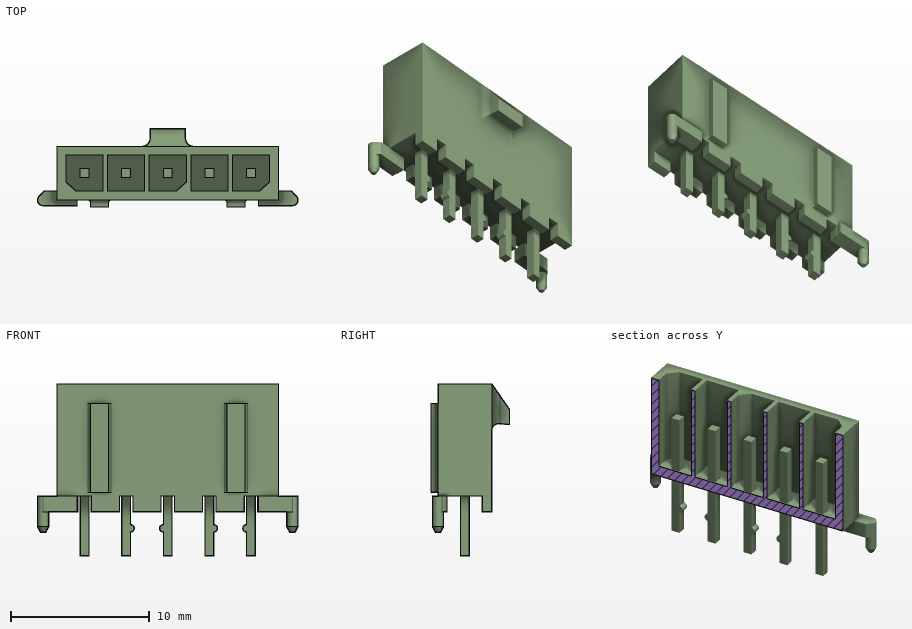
import cadquery as cq
import math


pin_count = 5
pitch = 3.0
housing_length = 16.0
housing_depth = 3.88
housing_top = 9.24
housing_underside = 1.14
housing_front = -housing_depth / 2
housing_rear = housing_depth / 2

cavity_length = 2.68
cavity_depth = 2.6
cavity_floor = 2.0
key_chamfer_x = 0.73
key_chamfer_y = 0.67
RIGHT = 1
LEFT = -1
cavity_keys = {0: LEFT, 2: RIGHT, 4: RIGHT}

rear_skirt_thickness = 0.7
front_skirt_thickness = 0.66
skirt_gap = 0.96

pin_width = 0.64
pin_bottom = -3.18
pin_top = 6.3
bump_radius = 0.27
bump_z = -1.19
pin_bumps = {1: RIGHT, 2: LEFT, 3: RIGHT, 4: LEFT}

overall_length = 18.8
peg_radius = 0.41
peg_tip_radius = 0.19
peg_cone_z = -1.07
peg_bottom = -1.48
ear_inner_x = 6.53
peg_x = overall_length / 2 - peg_radius

rib_x = 4.925
rib_width = 1.31
rib_projection = 0.51
rib_fillet = 0.17
rib_top = 7.82
rib_bottom = 1.41

latch_width = 2.56
latch_projection = 1.28
latch_fillet = 0.58
latch_tip_top = 7.39
latch_tip_bottom = 6.29
latch_underside_z = 6.36
latch_underside_fillet = 0.5

arc_middle = 1 - math.sqrt(0.5)

pin_positions = [(index - (pin_count - 1) / 2) * pitch for index in range(pin_count)]


def block(x_range, y_range, z_range):
    """Box spanning the given (low, high) ranges."""
    lows, highs = zip(x_range, y_range, z_range)
    sizes = [high - low for low, high in zip(lows, highs)]
    return cq.Workplane("XY").box(*sizes, centered=False).translate(lows)


def make_housing():
    half_length = housing_length / 2
    return block(
        (-half_length, half_length),
        (housing_front, housing_rear),
        (housing_underside, housing_top),
    )


def make_cavity(x, key_side):
    """Rectangular pocket; key_side picks the chamfered front corner, None for no chamfer."""
    half_length = cavity_length / 2
    half_depth = cavity_depth / 2
    height = housing_top - cavity_floor
    cavity = cq.Workplane("XY").box(cavity_length, cavity_depth, height, centered=(True, True, False))
    if key_side is not None:
        corner = (
            cq.Workplane("XY")
            .moveTo(key_side * half_length, -half_depth)
            .lineTo(key_side * (half_length - key_chamfer_x), -half_depth)
            .lineTo(key_side * half_length, -half_depth + key_chamfer_y)
            .close()
            .extrude(height)
        )
        cavity = cavity.cut(corner)
    return cavity.translate((x, 0, cavity_floor))


def make_skirt(y_range):
    """Wall below the housing over its full length, interrupted around every pin."""
    outer_x = housing_length / 2
    z_range = (0, housing_underside)
    skirt = block((-outer_x, outer_x), y_range, z_range)
    for x in pin_positions:
        skirt = skirt.cut(block((x - skirt_gap / 2, x + skirt_gap / 2), y_range, z_range))
    return skirt


def make_pin(x, bump_side):
    """Square pin; bump_side is the side of its retention bump, None for a plain pin."""
    half = pin_width / 2
    pin = block((x - half, x + half), (-half, half), (pin_bottom, pin_top))
    if bump_side is not None:
        bump = (
            cq.Workplane("XZ", origin=(x + bump_side * half, half, bump_z))
            .circle(bump_radius)
            .extrude(pin_width)
        )
        pin = pin.union(bump)
    return pin


def make_right_ear():
    """Ear plate at the +X end, its outer end rounded about the peg and cut at 45 degrees behind."""
    diagonal = peg_radius * math.sqrt(0.5)
    ear_rear = housing_front + front_skirt_thickness
    ear_front = housing_front - peg_radius
    tangent_x = peg_x + diagonal
    tangent_y = housing_front + diagonal
    plate = (
        cq.Workplane("XY")
        .moveTo(ear_inner_x, ear_front)
        .lineTo(peg_x, ear_front)
        .threePointArc((peg_x + peg_radius, housing_front), (tangent_x, tangent_y))
        .lineTo(tangent_x - (ear_rear - tangent_y), ear_rear)
        .lineTo(ear_inner_x, ear_rear)
        .close()
        .extrude(housing_underside)
    )
    peg = (
        cq.Workplane("XZ")
        .moveTo(0, housing_underside)
        .lineTo(peg_radius, housing_underside)
        .lineTo(peg_radius, peg_cone_z)
        .lineTo(peg_tip_radius, peg_bottom)
        .lineTo(0, peg_bottom)
        .close()
        .revolve(360, (0, 0), (0, 1))
        .translate((peg_x, housing_front, 0))
    )
    return plate.union(peg)


def make_rib(x):
    """Vertical front rib with concave fillets where it meets the housing."""
    half = rib_width / 2
    arc_offset = rib_fillet * arc_middle
    root_y = -rib_fillet
    return (
        cq.Workplane("XY")
        .moveTo(-half - rib_fillet, 0)
        .threePointArc((-half - arc_offset, -arc_offset), (-half, root_y))
        .lineTo(-half, -rib_projection)
        .lineTo(half, -rib_projection)
        .lineTo(half, root_y)
        .threePointArc((half + arc_offset, -arc_offset), (half + rib_fillet, 0))
        .close()
        .extrude(rib_top - rib_bottom)
        .translate((x, housing_front, rib_bottom))
    )


def make_latch():
    """Rear latch: a flared plan outline trimmed by a ramped side profile."""
    half = latch_width / 2
    arc_offset = latch_fillet * arc_middle
    plan = (
        cq.Workplane("XY")
        .moveTo(-half - latch_fillet, 0)
        .threePointArc((-half - arc_offset, arc_offset), (-half, latch_fillet))
        .lineTo(-half, latch_projection)
        .lineTo(half, latch_projection)
        .lineTo(half, latch_fillet)
        .threePointArc((half + arc_offset, arc_offset), (half + latch_fillet, 0))
        .close()
        .extrude(housing_top)
    )
    under_offset = latch_underside_fillet * arc_middle
    side = (
        cq.Workplane("YZ")
        .moveTo(0, housing_top)
        .lineTo(latch_projection, latch_tip_top)
        .lineTo(latch_projection, latch_tip_bottom)
        .lineTo(latch_underside_fillet, latch_underside_z)
        .threePointArc(
            (under_offset, latch_underside_z - under_offset),
            (0, latch_underside_z - latch_underside_fillet),
        )
        .close()
        .extrude(half + latch_fillet, both=True)
    )
    return plan.intersect(side).translate((0, housing_rear, 0))


result = make_housing()
for index, x in enumerate(pin_positions):
    result = result.cut(make_cavity(x, cavity_keys.get(index)))

result = result.union(make_skirt((housing_rear - rear_skirt_thickness, housing_rear)))
result = result.union(make_skirt((housing_front, housing_front + front_skirt_thickness)))

right_ear = make_right_ear()
result = result.union(right_ear).union(right_ear.mirror("YZ"))

for x in (-rib_x, rib_x):
    result = result.union(make_rib(x))

result = result.union(make_latch())

for index, x in enumerate(pin_positions):
    result = result.union(make_pin(x, pin_bumps.get(index)))